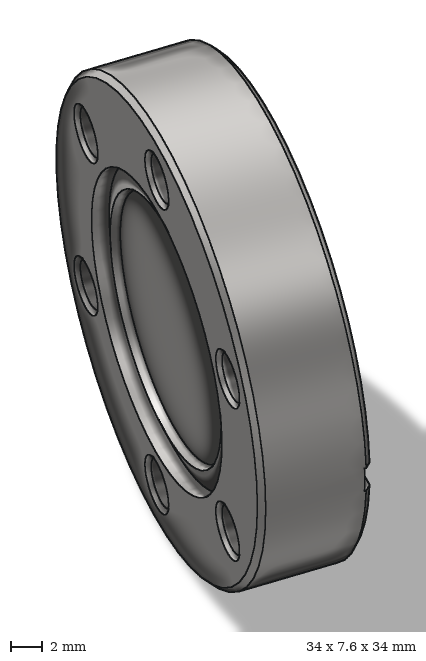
import cadquery as cq
import math

outer_diameter = 34.0
thickness = 7.6
edge_chamfer = 0.4

recess_diameter = 21.5
knife_tip_diameter = 18.3
knife_tip_depth = 0.6
floor_depth = 1.2
knife_inner_angle = 20.0
knife_outer_angle = 20.0
knife_inner_run = (floor_depth - knife_tip_depth) * math.tan(math.radians(knife_inner_angle))
floor_diameter = knife_tip_diameter - 2 * knife_inner_run
knife_outer_run = (recess_diameter - knife_tip_diameter) / 2
knife_root_depth = knife_tip_depth + knife_outer_run * math.tan(math.radians(knife_outer_angle))

bolt_count = 6
bolt_circle_diameter = 27.0
bolt_hole_diameter = 3.3
bolt_hole_chamfer = 0.3

groove_width = 2.0
groove_depth = 0.5


def make_disc():
    """Disc with both rims chamfered, bored with the knife-edge recess."""
    outer_radius = outer_diameter / 2
    rim_radius = outer_radius - edge_chamfer
    recess_radius = recess_diameter / 2
    profile = (
        cq.Workplane("XY")
        .moveTo(0, floor_depth)
        .lineTo(floor_diameter / 2, floor_depth)
        .lineTo(knife_tip_diameter / 2, knife_tip_depth)
        .lineTo(recess_radius, knife_root_depth)
        .lineTo(recess_radius, 0)
        .lineTo(rim_radius, 0)
        .lineTo(outer_radius, edge_chamfer)
        .lineTo(outer_radius, thickness - edge_chamfer)
        .lineTo(rim_radius, thickness)
        .lineTo(0, thickness)
        .close()
    )
    return profile.revolve(360, (0, 0, 0), (0, 1, 0))


def make_bolt_cutter():
    """Bolt hole on the Y axis, widened by a chamfer at the sealing face."""
    hole_radius = bolt_hole_diameter / 2
    mouth_radius = hole_radius + bolt_hole_chamfer
    profile = (
        cq.Workplane("XY")
        .moveTo(0, 0)
        .lineTo(mouth_radius, 0)
        .lineTo(hole_radius, bolt_hole_chamfer)
        .lineTo(hole_radius, thickness)
        .lineTo(0, thickness)
        .close()
    )
    return profile.revolve(360, (0, 0, 0), (0, 1, 0))


def cut_bolt_holes(body):
    """Cut the bolt holes evenly around the bolt circle, the first at +Z."""
    cutter = make_bolt_cutter().translate((0, 0, bolt_circle_diameter / 2))
    for index in range(bolt_count):
        angle = index * 360 / bolt_count
        body = body.cut(cutter.rotate((0, 0, 0), (0, 1, 0), angle))
    return body


def cut_back_groove(body):
    """Cut the groove through the axis, open at both sides of the rim."""
    groove = (
        cq.Workplane("XY")
        .box(outer_diameter, groove_depth, groove_width)
        .translate((0, thickness - groove_depth / 2, 0))
    )
    return body.cut(groove)


result = cut_back_groove(cut_bolt_holes(make_disc()))